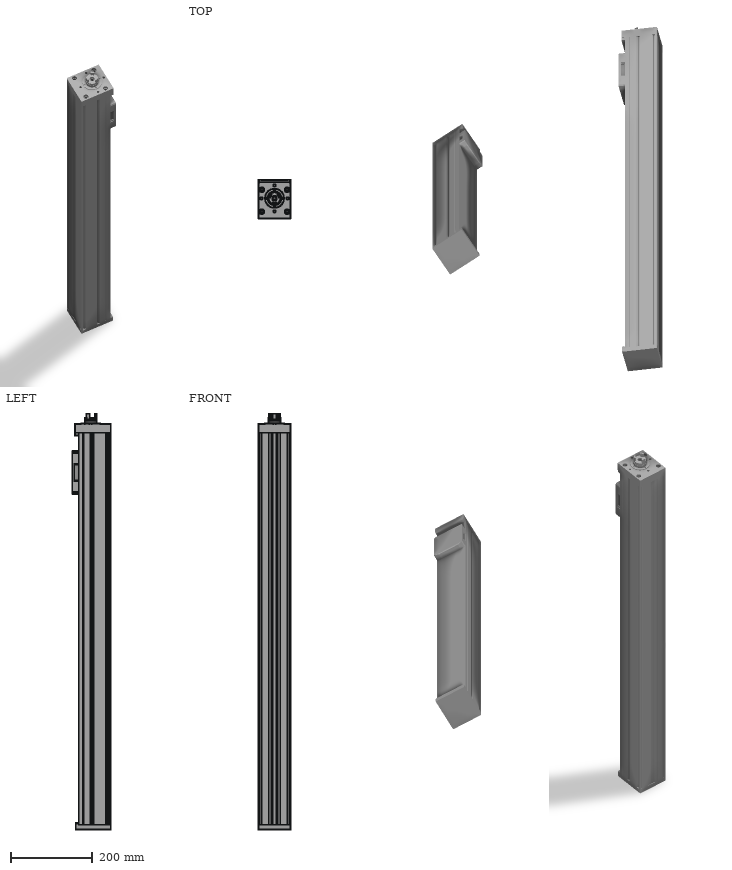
import cadquery as cq
import math


overall_height = 1024.4
end_plate_thickness = 12.0
profile_length = 965.0
head_thickness = 22.0
head_bottom = end_plate_thickness + profile_length
head_top = head_bottom + head_thickness

width = 80.0
half_width = width / 2
profile_depth = 80.0
corner_radius = 1.5

side_slot_heights = (8.25, 46.5)
side_slot_mouth = 8.4
side_slot_mouth_depth = 2.0
side_slot_neck = 2.8
side_slot_depth = 5.0

center_slot_steps = ((28.0, 0.5), (15.4, 1.0), (9.4, 1.5))

front_groove_offset = 34.0
front_groove_width = 5.8
front_groove_depth = 0.65

side_groove_height = 67.9
side_groove_width = 2.4

head_depth = 89.0
head_lip_height = 7.0
head_lip_side_inset = 1.0
axis_y = 50.0
screw_spacing_x = 62.0
screw_spacing_y = 54.0
screw_row_middle = 44.0
screw_hole_diameter = 7.0
screw_head_diameter = 12.0
screw_head_depth = 7.0
mount_hole_diameter = 6.2
mount_hole_depth = 12.0
mount_circle_radius = 32.0
mount_hole_count = 4

end_plate_depth = 87.0
end_lip_height = 5.0
end_lip_chamfer = 2.0

carriage_top_y = 96.0
carriage_length = 106.5
carriage_middle = 879.25
carriage_taper_start = 27.0
carriage_taper_end = 38.0
carriage_taper_drop = 2.7
carriage_corner_drop = 6.0
carriage_edge_chamfer = 2.0
pocket_height = 10.0
pocket_length = 43.2
pocket_depth = 2.0
inner_pocket_length = 37.0
inner_pocket_depth = 5.0

cover_diameter = 47.0
cover_bore = 34.0
cover_thickness = 2.0
cover_hole_diameter = 4.5
cover_hole_count = 4
cover_hole_circle_radius = (cover_diameter + cover_bore) / 4

coupling_diameter = 30.0
coupling_bore = 8.5
coupling_counterbore = 12.0
coupling_counterbore_depth = 6.0
coupling_hub_height = 15.0
jaw_count = 3
first_jaw_angle = -90.0
jaw_half_angle = 20.0
jaw_inner_radius = 11.0
groove_bottom = 8.0
groove_height = 3.0
groove_depth = 0.5


def block(x_size, y_start, y_end, z_start, z_end):
    """Box centred on X = 0 between the given Y and Z limits."""
    return cq.Workplane("XY").box(
        x_size, y_end - y_start, z_end - z_start, centered=(True, False, False)
    ).translate((0, y_start, z_start))


def rounded_block(y_end, z_start, z_end):
    """Full-width block from Y = 0 with its two long -Y corners rounded."""
    return block(width, 0, y_end, z_start, z_end).edges("|Z and <Y").fillet(corner_radius)


def side_block(side, depth, y_middle, y_size, z_middle, z_size):
    """Cutter reaching the given depth in from the left (-1) or right (+1) face."""
    x_middle = side * (half_width - depth / 2)
    return cq.Workplane("XY").box(depth, y_size, z_size).translate((x_middle, y_middle, z_middle))


def make_profile():
    z_start = end_plate_thickness
    z_end = head_bottom
    z_middle = (z_start + z_end) / 2
    body = rounded_block(profile_depth, z_start, z_end)

    for slot_width, slot_depth in center_slot_steps:
        body = body.cut(block(slot_width, 0, slot_depth, z_start, z_end))

    for side in (-1, 1):
        for height in side_slot_heights:
            for size, depth in (
                (side_slot_mouth, side_slot_mouth_depth),
                (side_slot_neck, side_slot_depth),
            ):
                body = body.cut(side_block(side, depth, height, size, z_middle, profile_length))

        middle = side * front_groove_offset
        half_groove = front_groove_width / 2
        groove = (
            cq.Workplane("XY", origin=(0, 0, z_start))
            .moveTo(middle - half_groove, 0)
            .threePointArc((middle, front_groove_depth), (middle + half_groove, 0))
            .close()
            .extrude(profile_length)
        )

        half_v = side_groove_width / 2
        v_groove = (
            cq.Workplane("XY", origin=(0, 0, z_start))
            .moveTo(side * half_width, side_groove_height - half_v)
            .lineTo(side * (half_width - half_v), side_groove_height)
            .lineTo(side * half_width, side_groove_height + half_v)
            .close()
            .extrude(profile_length)
        )
        body = body.cut(groove).cut(v_groove)
    return body


def screw_cylinders(diameter, depth):
    """Four cylinders going down from the head's top face at the screw positions."""
    return (
        cq.Workplane("XY", origin=(0, screw_row_middle, head_top))
        .rect(screw_spacing_x, screw_spacing_y, forConstruction=True)
        .vertices()
        .circle(diameter / 2)
        .extrude(-depth)
    )


def make_head():
    body = rounded_block(head_depth, head_bottom, head_top)

    lip_width = width - 2 * head_lip_side_inset
    body = body.union(
        block(lip_width, profile_depth, head_depth, head_bottom - head_lip_height, head_bottom)
    )

    screw_holes = screw_cylinders(screw_hole_diameter, head_thickness)
    screw_heads = screw_cylinders(screw_head_diameter, screw_head_depth)

    mount_holes = (
        cq.Workplane("XY", origin=(0, axis_y, head_top))
        .polarArray(mount_circle_radius, 0, 360, mount_hole_count)
        .circle(mount_hole_diameter / 2)
        .extrude(-mount_hole_depth)
    )
    return body.cut(screw_holes).cut(screw_heads).cut(mount_holes)


def make_end_plate():
    lip_top = end_plate_thickness + end_lip_height
    lip = block(width, profile_depth, end_plate_depth, end_plate_thickness, lip_top)
    lip = lip.edges("|Y and >Z").chamfer(end_lip_chamfer)
    return rounded_block(end_plate_depth, 0, end_plate_thickness).union(lip)


def make_carriage():
    half_length = carriage_length / 2
    taper_z = half_length - carriage_taper_drop
    corner_z = half_length - carriage_corner_drop
    quarter = [
        (carriage_taper_start, half_length),
        (carriage_taper_end, taper_z),
        (half_width, corner_z),
    ]
    outline = (
        quarter
        + [(x, -z) for x, z in reversed(quarter)]
        + [(-x, -z) for x, z in quarter]
        + [(-x, z) for x, z in reversed(quarter)]
    )
    body = (
        cq.Workplane("XZ", origin=(0, profile_depth, carriage_middle))
        .polyline(outline)
        .close()
        .extrude(profile_depth - carriage_top_y)
    )
    for end in (">Z", "<Z"):
        body = body.faces(end).edges(">Y").chamfer(carriage_edge_chamfer)

    pocket_middle = profile_depth + pocket_height / 2
    for side in (-1, 1):
        for length, depth in (
            (pocket_length, pocket_depth),
            (inner_pocket_length, inner_pocket_depth),
        ):
            body = body.cut(
                side_block(side, depth, pocket_middle, pocket_height, carriage_middle, length)
            )
    return body


def make_bearing_cover():
    return (
        cq.Workplane("XY", origin=(0, axis_y, head_top))
        .circle(cover_diameter / 2)
        .circle(cover_bore / 2)
        .extrude(cover_thickness)
        .cut(
            cq.Workplane("XY", origin=(0, axis_y, head_top))
            .polarArray(cover_hole_circle_radius, 0, 360, cover_hole_count)
            .circle(cover_hole_diameter / 2)
            .extrude(cover_thickness)
        )
    )


def point_on_circle(radius, degrees):
    angle = math.radians(degrees)
    return (radius * math.cos(angle), radius * math.sin(angle))


def make_coupling():
    radius = coupling_diameter / 2
    jaw_height = overall_height - head_top - coupling_hub_height
    body = cq.Workplane("XY").circle(radius).extrude(coupling_hub_height)

    body = body.cut(
        cq.Workplane("XY", origin=(0, 0, groove_bottom))
        .circle(radius)
        .circle(radius - groove_depth)
        .extrude(groove_height)
    )

    for number in range(jaw_count):
        middle = first_jaw_angle + number * 360 / jaw_count
        start = middle - jaw_half_angle
        end = middle + jaw_half_angle
        jaw = (
            cq.Workplane("XY", origin=(0, 0, coupling_hub_height))
            .moveTo(*point_on_circle(radius, start))
            .threePointArc(point_on_circle(radius, middle), point_on_circle(radius, end))
            .lineTo(*point_on_circle(jaw_inner_radius, end))
            .threePointArc(
                point_on_circle(jaw_inner_radius, middle), point_on_circle(jaw_inner_radius, start)
            )
            .close()
            .extrude(jaw_height)
        )
        body = body.union(jaw)

    bore = cq.Workplane("XY").circle(coupling_bore / 2).extrude(coupling_hub_height)
    counterbore = (
        cq.Workplane("XY", origin=(0, 0, coupling_hub_height))
        .circle(coupling_counterbore / 2)
        .extrude(-coupling_counterbore_depth)
    )
    return body.cut(bore).cut(counterbore).translate((0, axis_y, head_top))


profile = make_profile()
head = make_head()
end_plate = make_end_plate()
carriage = make_carriage()
bearing_cover = make_bearing_cover()
coupling = make_coupling()

result = cq.Compound.makeCompound(
    [
        profile.val(),
        head.val(),
        end_plate.val(),
        carriage.val(),
        bearing_cover.val(),
        coupling.val(),
    ]
)